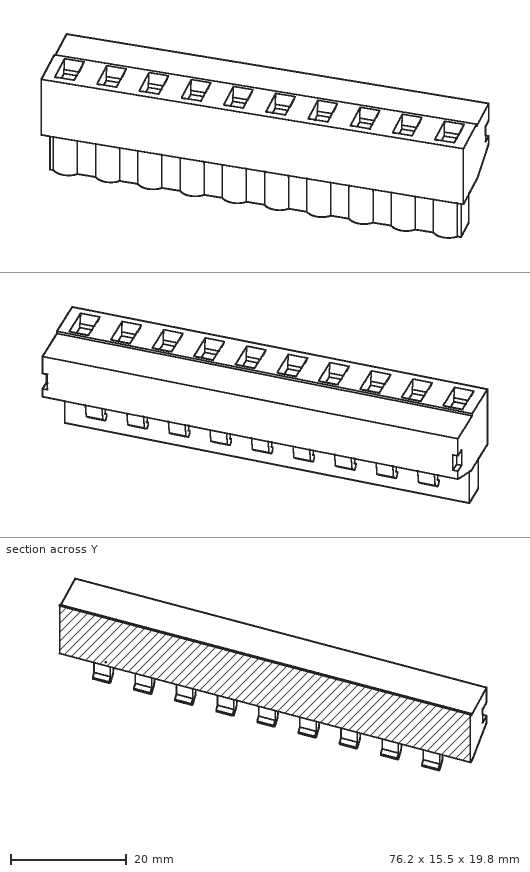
import cadquery as cq

LENGTH = 76.2
DEPTH = 15.5
HEIGHT = 19.8
POLE_COUNT = 10
PITCH = LENGTH / POLE_COUNT

HOUSING_BOTTOM = 8.2
STEP_Y = 8.0
STEP_DROP = 0.45
SLOPE_START_Y = 8.6
SLOPE_END_Z = 10.9

NOTCH_LENGTH = 0.9
NOTCH_DEPTH = 1.9
NOTCH_BOTTOM = 12.6
NOTCH_HEIGHT = 3.2

PLUG_END_MARGIN = 1.0
PLUG_FRONT = 1.9
PLUG_BACK = 6.7
POST_FRONT = 0.9
POST_WIDTH = 4.35
FLARE_HEIGHT = 1.7
FLARE_DEPTH = 0.3

MOUTH_WIDTH = 3.5
MOUTH_FRONT = 1.4
MOUTH_BACK = 7.3
MOUTH_DEPTH = 1.2
POCKET_WIDTH = 2.8
POCKET_FRONT = 2.75
POCKET_BACK = 5.8
POCKET_DEPTH = 0.85

HOOK_WIDTH = 3.05
HOOK_FRONT_Y = SLOPE_START_Y
HOOK_ROOT_Y = 10.75
HOOK_ROOT_Z = 9.0
HOOK_TOP_Z = 9.75
HOOK_TIP_Y = 7.9
HOOK_TIP_Z = 4.4
HOOK_BEND_Z = 5.0
HOOK_BACK_Y = 10.0
HOOK_BACK_Z = 4.65
HOOK_BOTTOM_Y = 8.8
HOOK_BOTTOM_Z = 3.65
HOOK_NOSE_Y = 8.15
HOOK_NOSE_Z = 3.9

pole_positions = [PITCH * (index + 0.5) for index in range(POLE_COUNT)]


def extrude_along_x(outline, start, length):
    """Close a YZ outline and extrude it along X from x = start."""
    return outline.close().extrude(length).translate((start, 0, 0))


def make_housing():
    outline = cq.Workplane("YZ").polyline([
        (0, HOUSING_BOTTOM),
        (SLOPE_START_Y, HOUSING_BOTTOM),
        (DEPTH, SLOPE_END_Z),
        (DEPTH, HEIGHT - STEP_DROP),
        (STEP_Y, HEIGHT - STEP_DROP),
        (STEP_Y, HEIGHT),
        (0, HEIGHT),
    ])
    housing = extrude_along_x(outline, 0, LENGTH)
    for start in (0, LENGTH - NOTCH_LENGTH):
        notch = cq.Workplane().box(NOTCH_LENGTH, NOTCH_DEPTH, NOTCH_HEIGHT, centered=False)
        housing = housing.cut(notch.translate((start, DEPTH - NOTCH_DEPTH, NOTCH_BOTTOM)))
    return housing


def make_plug():
    outline = cq.Workplane("YZ").polyline([
        (PLUG_FRONT, 0),
        (PLUG_BACK, 0),
        (PLUG_BACK, HOUSING_BOTTOM),
        (PLUG_FRONT - FLARE_DEPTH, HOUSING_BOTTOM),
        (PLUG_FRONT, HOUSING_BOTTOM - FLARE_HEIGHT),
    ])
    return extrude_along_x(outline, PLUG_END_MARGIN, LENGTH - 2 * PLUG_END_MARGIN)


def make_post(x):
    left = x - POST_WIDTH / 2
    right = x + POST_WIDTH / 2
    return (
        cq.Workplane("XY")
        .moveTo(left, PLUG_BACK)
        .lineTo(left, PLUG_FRONT)
        .threePointArc((x, POST_FRONT), (right, PLUG_FRONT))
        .lineTo(right, PLUG_BACK)
        .close()
        .extrude(HOUSING_BOTTOM)
    )


def make_window(x):
    mouth_floor = HEIGHT - MOUTH_DEPTH
    mouth_length = MOUTH_BACK - MOUTH_FRONT
    pocket_length = POCKET_BACK - POCKET_FRONT
    mouth_y = (MOUTH_FRONT + MOUTH_BACK) / 2
    pocket_y = (POCKET_FRONT + POCKET_BACK) / 2
    mouth = (
        cq.Workplane("XY", origin=(x, 0, HEIGHT))
        .center(0, mouth_y)
        .rect(MOUTH_WIDTH, mouth_length)
        .workplane(offset=-MOUTH_DEPTH)
        .center(0, pocket_y - mouth_y)
        .rect(POCKET_WIDTH, pocket_length)
        .loft(ruled=True)
    )
    pocket = (
        cq.Workplane("XY", origin=(x, pocket_y, mouth_floor))
        .rect(POCKET_WIDTH, pocket_length)
        .extrude(-POCKET_DEPTH)
    )
    return mouth.union(pocket)


def make_hook(x):
    outline = (
        cq.Workplane("YZ")
        .moveTo(HOOK_FRONT_Y, HOUSING_BOTTOM)
        .lineTo(HOOK_FRONT_Y, HOOK_BEND_Z)
        .lineTo(HOOK_TIP_Y, HOOK_TIP_Z)
        .threePointArc((HOOK_NOSE_Y, HOOK_NOSE_Z), (HOOK_BOTTOM_Y, HOOK_BOTTOM_Z))
        .lineTo(HOOK_BACK_Y, HOOK_BACK_Z)
        .lineTo(HOOK_ROOT_Y, HOOK_ROOT_Z)
        .lineTo(HOOK_ROOT_Y, HOOK_TOP_Z)
        .lineTo(HOOK_FRONT_Y, HOOK_TOP_Z)
    )
    return extrude_along_x(outline, x - HOOK_WIDTH / 2, HOOK_WIDTH)


result = make_housing().union(make_plug())
for pole_x in pole_positions:
    result = result.union(make_post(pole_x)).cut(make_window(pole_x))

for pole_x in pole_positions[:-1]:
    result = result.union(make_hook(pole_x + PITCH / 2))